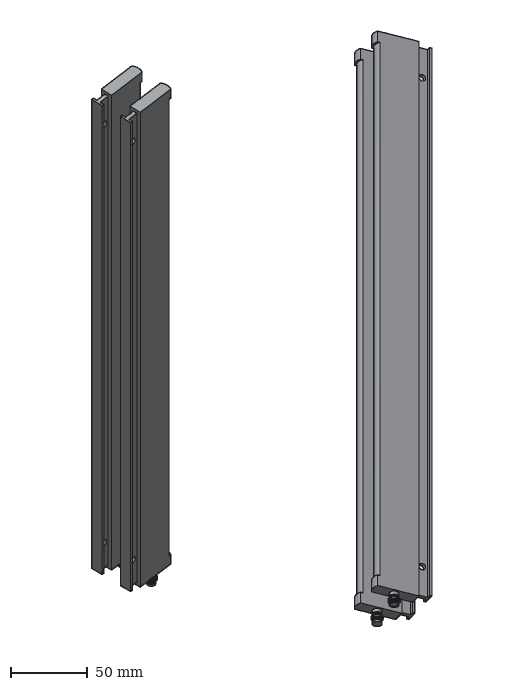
import cadquery as cq

BAR_WIDTH = 9.0
BAR_SPACING = 25.0
TOTAL_DEPTH = 41.0
TOTAL_HEIGHT = 429.5

CAP_THICKNESS = 2.5
PROFILE_BOTTOM = 12.5
PROFILE_TOP = TOTAL_HEIGHT - CAP_THICKNESS
PROFILE_LENGTH = PROFILE_TOP - PROFILE_BOTTOM
FOOT_THICKNESS = 1.7
WEB_WIDTH = 3.0
BOX_FRONT = 9.5
PROFILE_BULGE = 1.7

HOLE_DIAMETER = 4.7
HOLE_Y = (FOOT_THICKNESS + BOX_FRONT) / 2
HOLE_END_DISTANCE = 22.5

CAP_BULGE = 1.5
LIP_THICKNESS = 1.5
LIP_OVERLAP = 5.5
LIP_HEIGHT = CAP_THICKNESS + LIP_OVERLAP
PROFILE_BACK = TOTAL_DEPTH - LIP_THICKNESS
CAP_BOTTOM = PROFILE_BOTTOM - CAP_THICKNESS

SHORT_PLUG_BOTTOM = 1.5
LONG_PLUG_BOTTOM = 0
PLUG_Y = 25.5
PLUG_DIAMETER = 6.5
GROOVE_DIAMETER = 5.5
GROOVE_COUNT = 5
GROOVE_PITCH = 1.5
GROOVE_WIDTH = GROOVE_PITCH / 2
FIRST_GROOVE_Z = 1.7
COLLAR_DIAMETER = 8.0
COLLAR_Z = 4.0
COLLAR_HEIGHT = 1.5


def block(width, depth, z_bottom, height):
    """Box centred on X = 0 with its front on Y = 0."""
    plane = cq.Workplane("XY", origin=(0, 0, z_bottom))
    return plane.box(width, depth, height, centered=(True, False, False))


def bulged_block(y_back, bulge, z_bottom, height):
    """Full-width block behind the web, with an arched back whose crest is at y_back."""
    half = BAR_WIDTH / 2
    corner_y = y_back - bulge
    return (
        cq.Workplane("XY", origin=(0, 0, z_bottom))
        .moveTo(-half, BOX_FRONT)
        .lineTo(half, BOX_FRONT)
        .lineTo(half, corner_y)
        .threePointArc((0, y_back), (-half, corner_y))
        .close()
        .extrude(height)
    )


def make_profile():
    box = bulged_block(PROFILE_BACK, PROFILE_BULGE, PROFILE_BOTTOM, PROFILE_LENGTH)
    web = block(WEB_WIDTH, BOX_FRONT, PROFILE_BOTTOM, PROFILE_LENGTH)
    foot = block(BAR_WIDTH, FOOT_THICKNESS, PROFILE_BOTTOM, PROFILE_LENGTH)
    hole_heights = (PROFILE_BOTTOM + HOLE_END_DISTANCE, PROFILE_TOP - HOLE_END_DISTANCE)
    holes = (
        cq.Workplane("YZ", origin=(-WEB_WIDTH / 2, 0, 0))
        .pushPoints([(HOLE_Y, z) for z in hole_heights])
        .circle(HOLE_DIAMETER / 2)
        .extrude(WEB_WIDTH)
    )
    return box.union(web).union(foot).cut(holes)


def make_cap(plate_bottom, lip_bottom):
    """End plate as wide as the profile, plus the lip behind the profile."""
    plate = bulged_block(TOTAL_DEPTH, CAP_BULGE, plate_bottom, CAP_THICKNESS)
    lip = bulged_block(TOTAL_DEPTH, CAP_BULGE, lip_bottom, LIP_HEIGHT)
    lip = lip.cut(bulged_block(PROFILE_BACK, PROFILE_BULGE, lip_bottom, LIP_HEIGHT))
    return plate.union(lip)


def disc(diameter, z_bottom, height):
    """Disc on the plug axis."""
    return cq.Workplane("XY", origin=(0, PLUG_Y, z_bottom)).circle(diameter / 2).extrude(height)


def make_plug(bottom):
    plug = disc(PLUG_DIAMETER, bottom, CAP_BOTTOM - bottom)
    for i in range(GROOVE_COUNT):
        z = FIRST_GROOVE_Z + i * GROOVE_PITCH
        groove = disc(PLUG_DIAMETER, z, GROOVE_WIDTH).cut(disc(GROOVE_DIAMETER, z, GROOVE_WIDTH))
        plug = plug.cut(groove)
    return plug.union(disc(COLLAR_DIAMETER, COLLAR_Z, COLLAR_HEIGHT))


def make_bar(x, plug_bottom):
    top_cap = make_cap(PROFILE_TOP, TOTAL_HEIGHT - LIP_HEIGHT)
    bottom_cap = make_cap(CAP_BOTTOM, CAP_BOTTOM)
    bar = make_profile().union(top_cap, clean=False).union(bottom_cap, clean=False)
    bar = bar.union(make_plug(plug_bottom), clean=False)
    return bar.translate((x, 0, 0))


bar_places = [
    (-BAR_SPACING / 2, SHORT_PLUG_BOTTOM),
    (BAR_SPACING / 2, LONG_PLUG_BOTTOM),
]
bars = [make_bar(x, plug_bottom) for x, plug_bottom in bar_places]

result = cq.Compound.makeCompound([bar.val() for bar in bars])